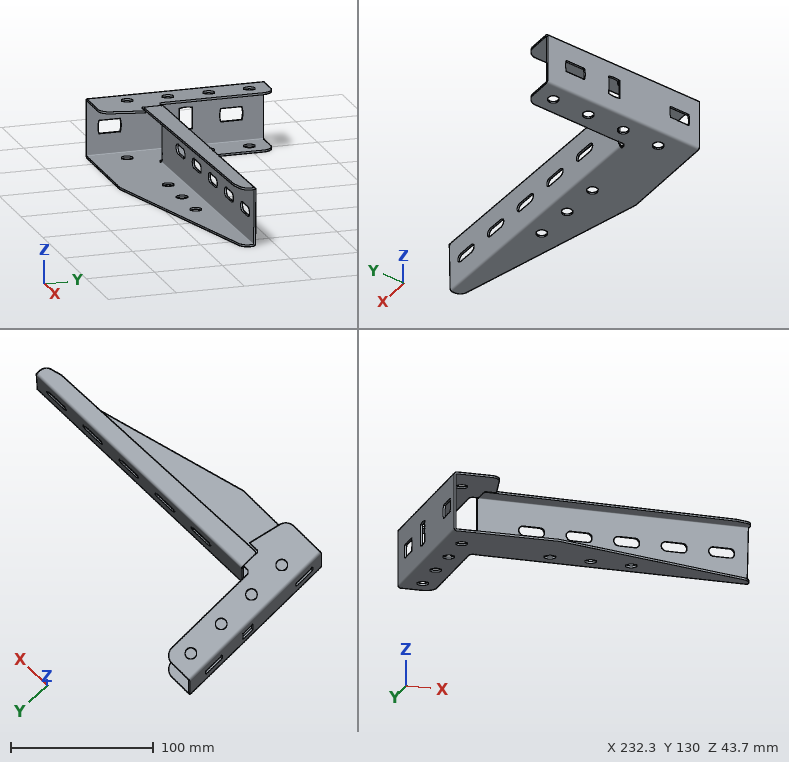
import cadquery as cq
import math

height = 43.7
sheet = 1.5
bend_radius = 2.0
mid_z = height / 2
lip_underside_z = height - sheet

channel_length = 130.0
flange_width = 26.0
flange_corner_radius = 8.0
inner_corner_radius = 2.8

arm_angle = 1.0
arm_rear_y = 46.7
arm_end = 232.3
arm_fold_depth = 23.2
web_end = 231.8
foot_end = 231.0
bend_start = 30.5
web_start = 31.5
web_relief_z = 3.7
lip_start = 32.3
lip_gap = 0.12
lip_front_y = 30.7
lip_front_angle = 2.0
lip_corner_radius = 2.3

gusset_straight = 77.4
gusset_angle = 15.1
tip_radius = 7.0

tongue_reach = 41.0
tongue_rear_y = 30.5
tongue_rear_radius = 1.2
tongue_side_angle = 13.0
tongue_front_radius = 8.1

hole_diameter = 8.1
hole_pitch = 30.0
flange_hole_x = 13.7
flange_hole_y = 25.8
flange_hole_count = 4
gusset_hole_x = 81.3
gusset_hole_y = 34.4
gusset_hole_count = 3

slot_length = 19.0
slot_width = 7.0
slot_pitch = 35.0
slot_first_x = 71.8
slot_count = 5

window_length = 17.0
window_width = 9.8
window_bow = 0.7
window_places = [(106.5, False), (73.0, True), (17.0, False)]


def slope(angle):
    return math.tan(math.radians(angle))


def bend_line_y(x):
    """Y where the arm's flat lower flange meets the bend into the web."""
    return arm_rear_y - bend_radius + x * slope(arm_angle)


notch_y = bend_line_y(bend_start)


def plate(points, z_low, z_high):
    """Solid between two heights over a plan outline."""
    return cq.Workplane("XY").workplane(offset=z_low).polyline(points).close().extrude(z_high - z_low)


def round_upright(solid, x, y, radius):
    """Round the upright edges standing at (x, y)."""
    near = 0.02
    corner = cq.selectors.BoxSelector((x - near, y - near, -height), (x + near, y + near, 2 * height))
    return solid.edges("|Z").edges(corner).fillet(radius)


def folded_sheet(depth, length):
    """C-shaped fold: back on X = 0, opening toward +X, running along +Y."""
    outside = cq.Workplane("XY").box(depth, length, height, centered=False)
    outside = outside.edges("|Y and <X").fillet(bend_radius)
    inside = cq.Workplane("XY").box(depth, length, height - 2 * sheet, centered=False)
    inside = inside.edges("|Y and <X").fillet(bend_radius - sheet)
    return outside.cut(inside.translate((sheet, 0, sheet)))


def taper_region(end_x, z_low, z_high):
    """Everything behind the sloped gusset edge, up to a rounded tip at end_x."""
    tip_y = (end_x - gusset_straight) * slope(gusset_angle)
    region = plate(
        [(0, 0), (gusset_straight, 0), (end_x, tip_y), (end_x, channel_length), (0, channel_length)],
        z_low, z_high,
    )
    return round_upright(region, end_x, tip_y, tip_radius)


def bottom_flange_region():
    """Plan of the bottom flange, which carries the gusset."""
    region = plate(
        [(0, 0), (foot_end, 0), (foot_end, bend_line_y(foot_end)), (bend_start, notch_y),
         (flange_width, notch_y), (flange_width, channel_length), (0, channel_length)],
        0, mid_z,
    )
    return region.intersect(taper_region(foot_end, 0, mid_z))


def top_flange_region():
    """Plan of the top flange with its tongue reaching in front of the lip."""
    tongue_front_x = tongue_reach - tongue_rear_y * slope(tongue_side_angle)
    tongue_notch_x = lip_start - lip_gap
    region = plate(
        [(0, 0), (tongue_front_x, 0), (tongue_reach, tongue_rear_y), (tongue_notch_x, tongue_rear_y),
         (tongue_notch_x, notch_y), (flange_width, notch_y), (flange_width, channel_length),
         (0, channel_length)],
        mid_z, height,
    )
    region = round_upright(region, tongue_front_x, 0, tongue_front_radius)
    return round_upright(region, tongue_notch_x, tongue_rear_y, tongue_rear_radius)


def make_channel():
    """Wall and both flanges, with the gusset."""
    region = bottom_flange_region().union(top_flange_region())
    region = round_upright(region, flange_width, channel_length, flange_corner_radius)
    region = round_upright(region, flange_width, notch_y, inner_corner_radius)
    return folded_sheet(foot_end, channel_length).intersect(region)


def arm_side_region():
    """Side outline of the arm: stepped at the left, slightly slanted at the right."""
    return (
        cq.Workplane("XZ")
        .polyline([(bend_start, 0), (foot_end, 0), (foot_end, bend_radius), (web_end, lip_underside_z),
                   (arm_end, lip_underside_z), (arm_end, height), (lip_start, height),
                   (lip_start, lip_underside_z), (web_start, lip_underside_z),
                   (web_start, web_relief_z), (bend_start, bend_radius)])
        .close()
        .extrude(-channel_length)
    )


def make_arm():
    """Web with the lower bend and the tapered lip on top."""
    arm = folded_sheet(arm_fold_depth, arm_end + arm_fold_depth)
    arm = arm.rotate((0, 0, 0), (0, 0, 1), arm_angle - 90).translate((0, arm_rear_y, 0))
    arm = arm.intersect(arm_side_region())

    lower_region = taper_region(foot_end, 0, bend_radius)
    upper_region = taper_region(arm_end, bend_radius, height)
    arm = arm.intersect(lower_region.union(upper_region))

    lip_end_y = lip_front_y + arm_end * slope(lip_front_angle)
    arm = arm.cut(plate([(0, 0), (arm_end, 0), (arm_end, lip_end_y), (0, lip_front_y)], mid_z, height))
    lip_corner_y = lip_front_y + lip_start * slope(lip_front_angle)
    return round_upright(arm, lip_start, lip_corner_y, lip_corner_radius)


def flange_holes():
    """Cutter for the row of holes through both flanges."""
    places = [(flange_hole_x, flange_hole_y + i * hole_pitch) for i in range(flange_hole_count)]
    return cq.Workplane("XY").pushPoints(places).circle(hole_diameter / 2).extrude(height)


def gusset_holes():
    """Cutter for the row of holes parallel to the arm, through the gusset only."""
    runs = [i * hole_pitch for i in range(gusset_hole_count)]
    places = [(gusset_hole_x + run, gusset_hole_y + run * slope(arm_angle)) for run in runs]
    return cq.Workplane("XY").pushPoints(places).circle(hole_diameter / 2).extrude(sheet)


def arm_slots():
    """Row of slots through the web at mid height."""
    places = [(slot_first_x + i * slot_pitch, mid_z) for i in range(slot_count)]
    return (
        cq.Workplane("XZ")
        .pushPoints(places)
        .slot2D(slot_length, slot_width)
        .extrude(-channel_length)
    )


def wall_window(y, upright):
    """Cutter for one window with bowed short sides in the channel wall."""
    half_width = window_width / 2
    half_length = window_length / 2
    corner = half_length - window_bow
    window = (
        cq.Workplane("YZ")
        .moveTo(-corner, -half_width)
        .lineTo(corner, -half_width)
        .threePointArc((half_length, 0), (corner, half_width))
        .lineTo(-corner, half_width)
        .threePointArc((-half_length, 0), (-corner, -half_width))
        .close()
        .extrude(bend_radius)
    )
    if upright:
        window = window.rotate((0, 0, 0), (1, 0, 0), 90)
    return window.translate((0, y, mid_z))


result = make_channel().union(make_arm())
result = result.cut(flange_holes()).cut(gusset_holes()).cut(arm_slots())
for window_y, upright in window_places:
    result = result.cut(wall_window(window_y, upright))